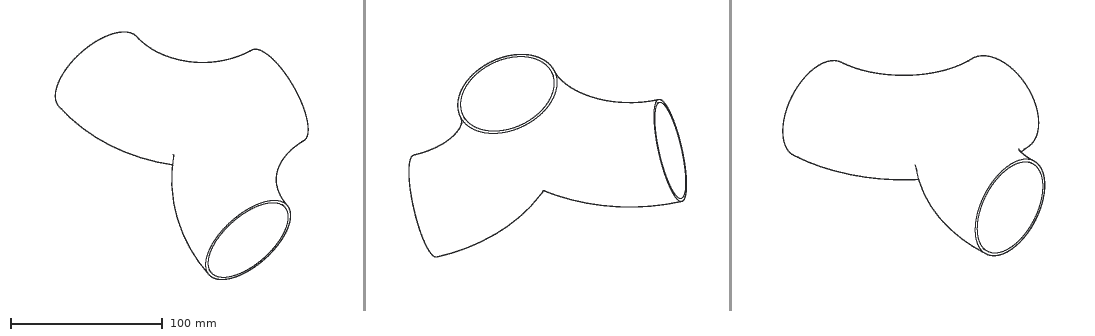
import cadquery as cq

overall_length = 170.0
pipe_diameter = 69.0
wall_thickness = 2.0
crotch_fillet = 2.0

bend_angle = 90
bend_radius = overall_length / 2
outer_radius = pipe_diameter / 2
bore_radius = outer_radius - wall_thickness



def left_bend(radius):
    """Round bend from the shared port to the -X port, trimmed at the plane X = 0."""
    bend = (
        cq.Workplane("XZ")
        .circle(radius)
        .revolve(bend_angle, (-bend_radius, 0, 0), (-bend_radius, -1, 0))
    )
    bend_depth = bend_radius + radius
    left_side = cq.Workplane("XY").box(
        bend_radius, bend_depth, 2 * radius, centered=(False, False, True)
    )
    return bend.intersect(left_side.translate((-bend_radius, -bend_depth, 0)))


def double_bend(radius):
    """Solid pair of mirrored bends, with the crotch between them rounded."""
    left = left_bend(radius)
    pair = left.union(left.mirror("YZ"))
    return pair.edges("%BSPLINE").fillet(crotch_fillet)


result = double_bend(outer_radius).cut(double_bend(bore_radius))